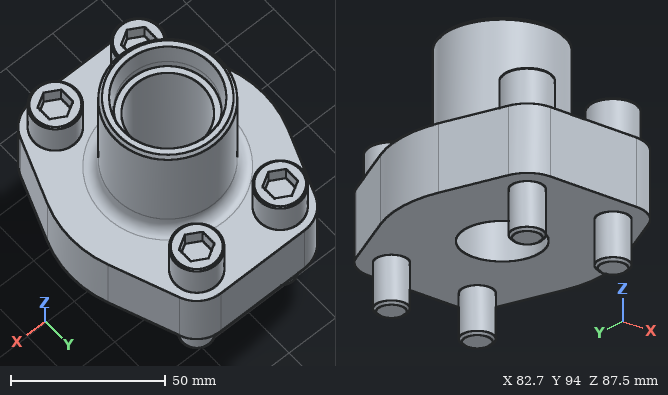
import cadquery as cq
import math

PLATE_LENGTH = 94.0
PLATE_WIDTH = 82.7
PLATE_THICKNESS = 25.0

SCREW_X = 17.9
SCREW_Y = 35.0
HEAD_DIAMETER = 18.0
HEAD_HEIGHT = 14.6
HEAD_CHAMFER = 0.6
SHANK_DIAMETER = 12.0
SHANK_PROTRUSION = 17.5
SHANK_CHAMFER = 1.0
SOCKET_ACROSS_FLATS = 10.1
SOCKET_DEPTH = 6.0

TUBE_DIAMETER = 45.0
TUBE_HEIGHT = 45.0
TUBE_CHAMFER = 1.2
ROOT_FILLET = 5.0

BORE_DIAMETER = 30.0
SEAT_DIAMETER = 35.0
SEAT_DEPTH = 10.15
MOUTH_DIAMETER = 38.0
TAPER_HALF_ANGLE = 12.0

TUBE_TOP = PLATE_THICKNESS + TUBE_HEIGHT


def make_plate():
    """Plate whose corner arcs are concentric with the screws, joined to the side arcs by tangent lines."""
    side_radius = PLATE_WIDTH / 2
    half_length = PLATE_LENGTH / 2
    corner_radius = half_length - SCREW_Y
    screw_angle = math.atan2(SCREW_Y, SCREW_X)
    tangent_offset = math.acos((side_radius - corner_radius) / math.hypot(SCREW_X, SCREW_Y))
    normal_angle = screw_angle - tangent_offset
    side_x = side_radius * math.cos(normal_angle)
    side_y = side_radius * math.sin(normal_angle)
    corner_x = SCREW_X + corner_radius * math.cos(normal_angle)
    corner_y = SCREW_Y + corner_radius * math.sin(normal_angle)
    middle_angle = (normal_angle + math.pi / 2) / 2
    middle_x = SCREW_X + corner_radius * math.cos(middle_angle)
    middle_y = SCREW_Y + corner_radius * math.sin(middle_angle)
    return (
        cq.Workplane("XY")
        .moveTo(side_x, -side_y)
        .threePointArc((side_radius, 0), (side_x, side_y))
        .lineTo(corner_x, corner_y)
        .threePointArc((middle_x, middle_y), (SCREW_X, half_length))
        .lineTo(-SCREW_X, half_length)
        .threePointArc((-middle_x, middle_y), (-corner_x, corner_y))
        .lineTo(-side_x, side_y)
        .threePointArc((-side_radius, 0), (-side_x, -side_y))
        .lineTo(-corner_x, -corner_y)
        .threePointArc((-middle_x, -middle_y), (-SCREW_X, -half_length))
        .lineTo(SCREW_X, -half_length)
        .threePointArc((middle_x, -middle_y), (corner_x, -corner_y))
        .close()
        .extrude(PLATE_THICKNESS)
    )


def make_neck():
    """Revolved tube body with a chamfered rim and a concave fillet at its root."""
    radius = TUBE_DIAMETER / 2
    root_radius = radius + ROOT_FILLET
    fillet_top = PLATE_THICKNESS + ROOT_FILLET
    fillet_inset = ROOT_FILLET * math.sqrt(0.5)
    return (
        cq.Workplane("XZ")
        .moveTo(0, 0)
        .lineTo(root_radius, 0)
        .lineTo(root_radius, PLATE_THICKNESS)
        .threePointArc((root_radius - fillet_inset, fillet_top - fillet_inset), (radius, fillet_top))
        .lineTo(radius, TUBE_TOP - TUBE_CHAMFER)
        .lineTo(radius - TUBE_CHAMFER, TUBE_TOP)
        .lineTo(0, TUBE_TOP)
        .close()
        .revolve(360, (0, 0, 0), (0, 1, 0))
    )


def make_passage():
    """Revolved cutter: plain bore, flat seat, short cylinder and taper opening upward."""
    bore_radius = BORE_DIAMETER / 2
    seat_radius = SEAT_DIAMETER / 2
    mouth_radius = MOUTH_DIAMETER / 2
    taper_depth = (mouth_radius - seat_radius) / math.tan(math.radians(TAPER_HALF_ANGLE))
    return (
        cq.Workplane("XZ")
        .moveTo(0, 0)
        .lineTo(bore_radius, 0)
        .lineTo(bore_radius, TUBE_TOP - SEAT_DEPTH)
        .lineTo(seat_radius, TUBE_TOP - SEAT_DEPTH)
        .lineTo(seat_radius, TUBE_TOP - taper_depth)
        .lineTo(mouth_radius, TUBE_TOP)
        .lineTo(0, TUBE_TOP)
        .close()
        .revolve(360, (0, 0, 0), (0, 1, 0))
    )


def make_screw():
    """Screw on the Z axis, with its head sitting on the plate and its shank below it."""
    head = (
        cq.Workplane("XY", origin=(0, 0, PLATE_THICKNESS))
        .circle(HEAD_DIAMETER / 2)
        .extrude(HEAD_HEIGHT)
        .faces(">Z")
        .chamfer(HEAD_CHAMFER)
    )
    shank = (
        cq.Workplane("XY", origin=(0, 0, -SHANK_PROTRUSION))
        .circle(SHANK_DIAMETER / 2)
        .extrude(SHANK_PROTRUSION + PLATE_THICKNESS)
        .faces("<Z")
        .chamfer(SHANK_CHAMFER)
    )
    across_corners = SOCKET_ACROSS_FLATS / math.cos(math.pi / 6)
    socket = (
        cq.Workplane("XY", origin=(0, 0, PLATE_THICKNESS + HEAD_HEIGHT))
        .transformed(rotate=(0, 0, 90))
        .polygon(6, across_corners)
        .extrude(-SOCKET_DEPTH)
    )
    return head.union(shank).cut(socket)


result = make_plate().union(make_neck()).cut(make_passage())

screw = make_screw()
for x in (-SCREW_X, SCREW_X):
    for y in (-SCREW_Y, SCREW_Y):
        result = result.union(screw.translate((x, y, 0)))